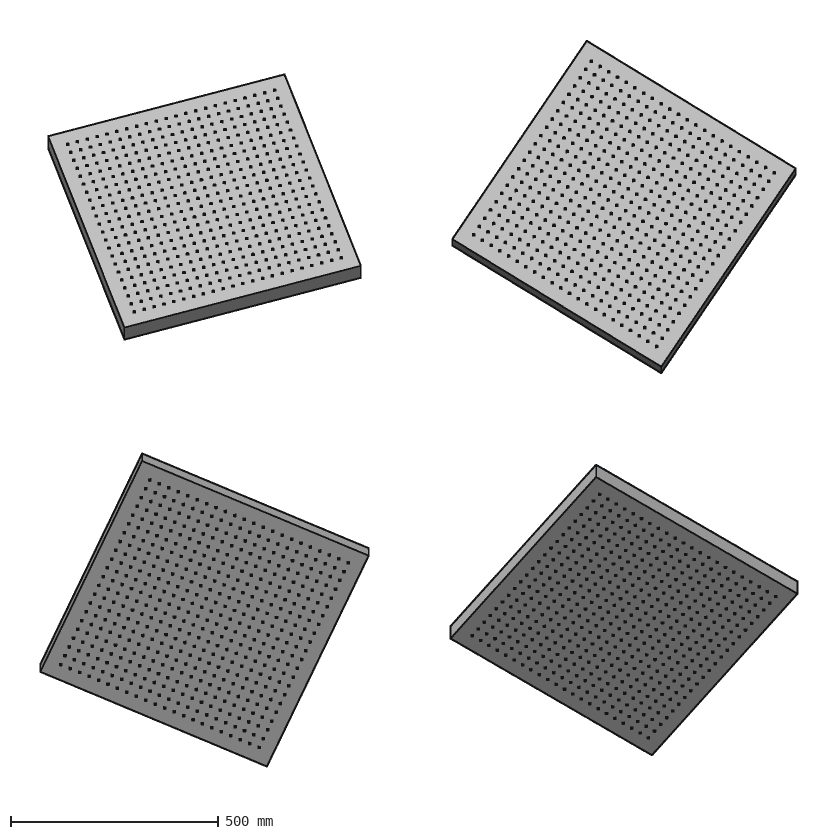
import cadquery as cq

plate_side = 600.0
pitches_per_side = 24
holes_per_side = 22
hole_pitch = plate_side / pitches_per_side
hole_diameter = 5.0

plate_thickness = 2 * hole_pitch


def make_plate():
    """Plain square plate resting on the XY plane."""
    return cq.Workplane("XY").rect(plate_side, plate_side).extrude(plate_thickness)


def make_hole_cores():
    """Cylinders on the hole grid, as tall as the plate is thick."""
    return (
        cq.Workplane("XY")
        .rarray(hole_pitch, hole_pitch, holes_per_side, holes_per_side)
        .circle(hole_diameter / 2)
        .extrude(plate_thickness)
    )


result = make_plate().cut(make_hole_cores())